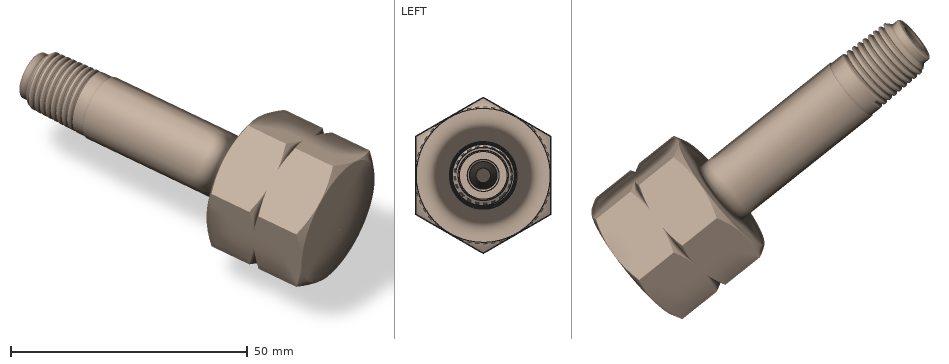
import cadquery as cq
import math

overall_length = 77.1
nut_length = 24.05
nut_start = overall_length - nut_length

nut_across_flats = 28.6
nut_across_corners = nut_across_flats * 2 / math.sqrt(3)
nut_face_radius = 14.2
nut_chamfer_angle = 30.0
nut_groove_root_radius = 14.5
nut_groove_half_angle = 30.0

shank_radius = 7.2
tip_radius = 5.3
tip_length = 1.8
tip_chamfer = 0.27
thread_end_radius = 6.95
thread_end = 15.1
taper_slope = 1 / 32
collar_end = 17.4

ten_pitches = 14.1
thread_pitch = ten_pitches / 10
groove_depth = 0.7
groove_mouth = 1.0
groove_root_width = 0.2
groove_start = -0.3
groove_turns = 10.4
cutter_overshoot = 0.2

bore_radius = 2.9
bore_chamfer = 0.5

plug_tip_radius = 1.55
plug_start = 15.4
plug_cone_length = 10.8


def revolve_about_x(points):
    """Solid of revolution about the X axis from (x, radius) points."""
    return cq.Workplane("XY").polyline(points).close().revolve(360, (0, 0, 0), (1, 0, 0))


def crest_radius(x):
    """Radius of the tapered thread blank at x."""
    return thread_end_radius - (thread_end - x) * taper_slope


def make_nut():
    """Hexagon with chamfered corners and a V-groove around its middle."""
    corner_radius = nut_across_corners / 2
    chamfer_depth = corner_radius - nut_face_radius
    chamfer_length = chamfer_depth * math.tan(math.radians(nut_chamfer_angle))
    groove_radial_depth = corner_radius - nut_groove_root_radius
    groove_half_width = groove_radial_depth * math.tan(math.radians(nut_groove_half_angle))
    groove_centre = nut_start + nut_length / 2
    hexagon = (
        cq.Workplane("YZ")
        .workplane(offset=nut_start)
        .transformed(rotate=(0, 0, 90))
        .polygon(6, nut_across_corners)
        .extrude(nut_length)
    )
    envelope = revolve_about_x([
        (nut_start, 0),
        (nut_start, nut_face_radius),
        (nut_start + chamfer_length, corner_radius),
        (groove_centre - groove_half_width, corner_radius),
        (groove_centre, nut_groove_root_radius),
        (groove_centre + groove_half_width, corner_radius),
        (overall_length - chamfer_length, corner_radius),
        (overall_length, nut_face_radius),
        (overall_length, 0),
    ])
    shank_hole = cq.Workplane("YZ").workplane(offset=nut_start).circle(shank_radius).extrude(nut_length)
    return hexagon.intersect(envelope).cut(shank_hole)


def make_thread_groove():
    """Right-handed tapered helical cutter that starts in the air ahead of the tip."""
    root_radius = crest_radius(groove_start) - groove_depth
    outer_radius = root_radius + groove_depth + cutter_overshoot
    root_half_width = groove_root_width / 2
    flank_slope = (groove_mouth - groove_root_width) / 2 / groove_depth
    outer_half_width = groove_mouth / 2 + cutter_overshoot * flank_slope
    path = cq.Wire.makeHelix(
        thread_pitch,
        groove_turns * thread_pitch,
        root_radius,
        angle=math.degrees(math.atan(taper_slope)),
    )
    cutter = (
        cq.Workplane("XZ")
        .polyline([
            (root_radius, -root_half_width),
            (outer_radius, -outer_half_width),
            (outer_radius, outer_half_width),
            (root_radius, root_half_width),
        ])
        .close()
        .sweep(cq.Workplane(obj=path), isFrenet=True)
    )
    laid_down = cutter.rotate((0, 0, 0), (0, 1, 0), 90)
    return laid_down.rotate((0, 0, 0), (1, 0, 0), 180).translate((groove_start, 0, 0))


def make_threaded_end():
    """Tapered pipe thread, stepped down at the front to a plain tip."""
    taper = revolve_about_x([
        (0, 0),
        (0, crest_radius(0)),
        (thread_end, thread_end_radius),
        (thread_end, 0),
    ])
    lead_rise = thread_end_radius - tip_radius
    envelope = revolve_about_x([
        (0, 0),
        (0, tip_radius - tip_chamfer),
        (tip_chamfer, tip_radius),
        (tip_length, tip_radius),
        (tip_length + lead_rise, thread_end_radius),
        (thread_end, thread_end_radius),
        (thread_end, 0),
    ])
    return taper.cut(make_thread_groove()).intersect(envelope)


def make_nipple():
    """Threaded end and shank, bored right through."""
    shank = revolve_about_x([
        (thread_end, 0),
        (thread_end, thread_end_radius),
        (collar_end, thread_end_radius),
        (collar_end, shank_radius),
        (overall_length, shank_radius),
        (overall_length, 0),
    ])
    bore = revolve_about_x([
        (0, 0),
        (0, bore_radius + bore_chamfer),
        (bore_chamfer, bore_radius),
        (overall_length, bore_radius),
        (overall_length, 0),
    ])
    return make_threaded_end().union(shank).cut(bore)


def make_plug():
    """Core that fills the bore behind a slender blunt cone."""
    return revolve_about_x([
        (plug_start, 0),
        (plug_start, plug_tip_radius),
        (plug_start + plug_cone_length, bore_radius),
        (overall_length, bore_radius),
        (overall_length, 0),
    ])


nut = make_nut()
nipple = make_nipple()
plug = make_plug()
result = cq.Compound.makeCompound([nut.val(), nipple.val(), plug.val()])